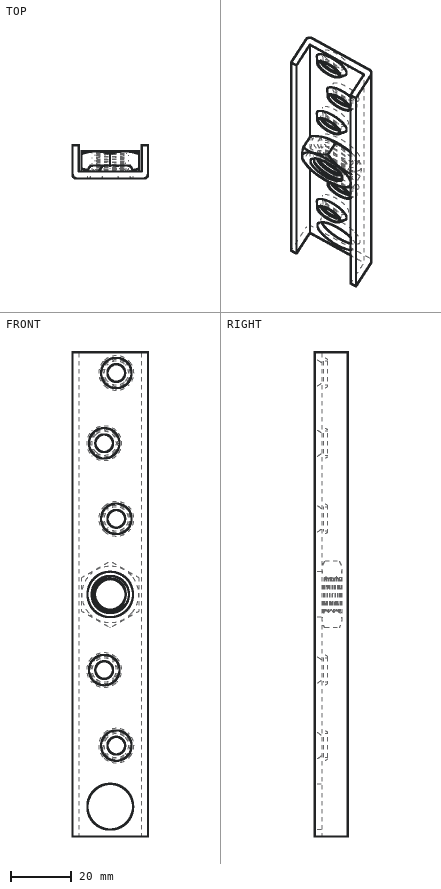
import cadquery as cq
import math

LENGTH = 160.0
WIDTH = 25.0
DEPTH = 11.0
FLANGE_THICKNESS = 2.0
WEB_THICKNESS = 2.4
CORNER_RADIUS = 1.5

SCREW_DIAMETER = 5.8
COUNTERSINK_DIAMETER = 10.0
COUNTERSINK_DEPTH = 3.0
BOSS_TOP_DIAMETER = 9.0
BOSS_HEIGHT = 2.0
BOSS_BASE_DIAMETER = 11.5
BOSS_HOLLOW_DIAMETER = 8.0
SCREW_ROW_SPACING = 4.0
SCREW_OFFSET = SCREW_ROW_SPACING / 2
SCREW_PITCH = 25.0
TOP_SCREW_Z = 73.1
SCREW_POSITIONS = [
    (SCREW_OFFSET, TOP_SCREW_Z),
    (-SCREW_OFFSET, 2 * SCREW_PITCH),
    (SCREW_OFFSET, SCREW_PITCH),
    (-SCREW_OFFSET, -SCREW_PITCH),
    (SCREW_OFFSET, -2 * SCREW_PITCH),
]

LARGE_HOLE_DIAMETER = 15.0
NUT_Z = 0.0
LOWER_HOLE_Z = -70.0

NUT_ACROSS_FLATS = 19.0
NUT_ACROSS_CORNERS = NUT_ACROSS_FLATS / math.cos(math.pi / 6)
NUT_HEIGHT = 6.7
NUT_FACE_DIAMETER = 18.7
NUT_CHAMFER_ANGLE = 30.0
THREAD_MINOR_DIAMETER = 10.0
THREAD_MAJOR_DIAMETER = 12.0
THREAD_MOUTH_DIAMETER = 12.3
THREAD_PITCH = 1.8
GROOVE_OVERLAP = 0.03
CREST_FLAT = 0.2


def revolve_about_y(outline, x, z):
    """Revolve (radius, y) points about the line parallel to Y through (x, z)."""
    profile = cq.Workplane("XY").polyline(outline).close()
    return profile.revolve(360, (0, 0), (0, 1)).translate((x, 0, z))


def cylinder_along_y(diameter, y_start, y_end, x, z):
    radius = diameter / 2
    return revolve_about_y([(0, y_start), (radius, y_start), (radius, y_end), (0, y_end)], x, z)


def make_channel_section():
    outer = cq.Workplane("XY").box(WIDTH, DEPTH, LENGTH, centered=(True, False, True))
    outer = outer.edges("|Z and <Y").fillet(CORNER_RADIUS)
    inner_width = WIDTH - 2 * FLANGE_THICKNESS
    trough = cq.Workplane("XY").box(inner_width, DEPTH, LENGTH, centered=(True, False, True))
    return outer.cut(trough.translate((0, WEB_THICKNESS, 0)))


def make_boss(x, z):
    top = WEB_THICKNESS + BOSS_HEIGHT
    outline = [
        (0, WEB_THICKNESS),
        (BOSS_BASE_DIAMETER / 2, WEB_THICKNESS),
        (BOSS_TOP_DIAMETER / 2, top),
        (0, top),
    ]
    return revolve_about_y(outline, x, z)


def make_screw_hole(x, z):
    end = WEB_THICKNESS + BOSS_HEIGHT
    outline = [
        (0, 0),
        (COUNTERSINK_DIAMETER / 2, 0),
        (SCREW_DIAMETER / 2, COUNTERSINK_DEPTH),
        (BOSS_HOLLOW_DIAMETER / 2, COUNTERSINK_DEPTH),
        (BOSS_HOLLOW_DIAMETER / 2, end),
        (0, end),
    ]
    return revolve_about_y(outline, x, z)


def make_channel():
    channel = make_channel_section()
    for x, z in SCREW_POSITIONS:
        channel = channel.union(make_boss(x, z)).cut(make_screw_hole(x, z))
    for z in (NUT_Z, LOWER_HOLE_Z):
        channel = channel.cut(cylinder_along_y(LARGE_HOLE_DIAMETER, 0, WEB_THICKNESS, 0, z))
    return channel


def make_nut_blank():
    """Hexagonal prism along local Z with flats facing +X and -X and both ends chamfered."""
    prism = cq.Workplane("XY").polygon(6, NUT_ACROSS_CORNERS).extrude(NUT_HEIGHT)
    prism = prism.rotate((0, 0, 0), (0, 0, 1), 30)
    face_radius = NUT_FACE_DIAMETER / 2
    corner_radius = NUT_ACROSS_CORNERS / 2
    drop = (corner_radius - face_radius) * math.tan(math.radians(NUT_CHAMFER_ANGLE))
    outline = [
        (0, 0),
        (face_radius, 0),
        (corner_radius, drop),
        (corner_radius, NUT_HEIGHT - drop),
        (face_radius, NUT_HEIGHT),
        (0, NUT_HEIGHT),
    ]
    envelope = cq.Workplane("XZ").polyline(outline).close().revolve(360, (0, 0), (0, 1))
    return prism.intersect(envelope)


def make_nut_bore():
    """Bore at the minor diameter with a 45 degree chamfer at each mouth."""
    bore_radius = THREAD_MINOR_DIAMETER / 2
    mouth_radius = THREAD_MOUTH_DIAMETER / 2
    chamfer = mouth_radius - bore_radius
    outline = [
        (0, 0),
        (mouth_radius, 0),
        (bore_radius, chamfer),
        (bore_radius, NUT_HEIGHT - chamfer),
        (mouth_radius, NUT_HEIGHT),
        (0, NUT_HEIGHT),
    ]
    return cq.Workplane("XZ").polyline(outline).close().revolve(360, (0, 0), (0, 1))


def make_thread_groove():
    """Helical V groove with a narrow crest left between turns, running past both ends of the nut."""
    root_radius = THREAD_MAJOR_DIAMETER / 2
    inner_radius = THREAD_MINOR_DIAMETER / 2 - GROOVE_OVERLAP
    bore_half_width = (THREAD_PITCH - CREST_FLAT) / 2
    thread_depth = (THREAD_MAJOR_DIAMETER - THREAD_MINOR_DIAMETER) / 2
    half_width = bore_half_width * (thread_depth + GROOVE_OVERLAP) / thread_depth
    helix_length = NUT_HEIGHT + 2 * THREAD_PITCH
    helix = cq.Wire.makeHelix(THREAD_PITCH, helix_length, inner_radius)
    profile = cq.Workplane("XZ").polyline([
        (inner_radius, -half_width),
        (root_radius, 0),
        (inner_radius, half_width),
    ]).close()
    groove = profile.sweep(cq.Workplane(obj=helix), isFrenet=True)
    return groove.translate((0, 0, -THREAD_PITCH))


def make_nut():
    nut = make_nut_blank().cut(make_nut_bore()).cut(make_thread_groove())
    return nut.rotate((0, 0, 0), (1, 0, 0), -90).translate((0, WEB_THICKNESS, NUT_Z))


channel = make_channel()
nut = make_nut()
result = cq.Compound.makeCompound([*channel.solids().vals(), *nut.solids().vals()])